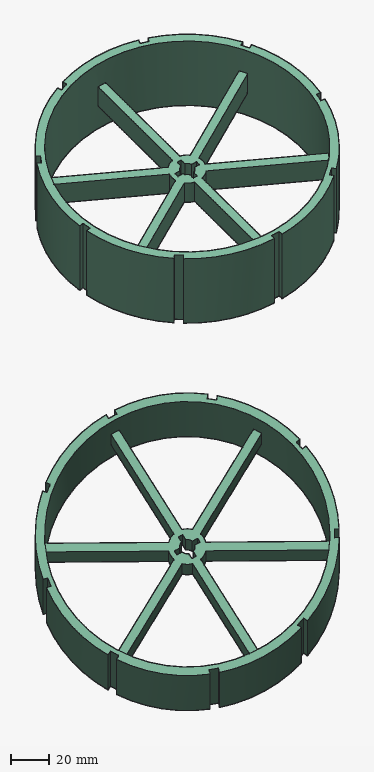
import cadquery as cq

rim_radius = 79.5
rim_height = 50.0
rim_wall = 5.0
rim_inner_radius = rim_radius - rim_wall

groove_count = 9
groove_width = 5.0
groove_depth = 2.5

hub_radius = 10.0
web_height = 15.0
web_bottom = (rim_height - web_height) / 2
spoke_count = 6
spoke_width = 5.0
spoke_embed = rim_wall / 4
spoke_length = rim_inner_radius + spoke_embed

bore_radius = 4.0
keyway_width = 2.5
keyway_span = 14.0


def make_rim():
    rim = cq.Workplane("XY").circle(rim_radius).circle(rim_inner_radius).extrude(rim_height)
    groove = (
        cq.Workplane("XY")
        .center(rim_radius, 0)
        .rect(2 * groove_depth, groove_width)
        .extrude(rim_height)
    )
    for i in range(groove_count):
        rim = rim.cut(groove.rotate((0, 0, 0), (0, 0, 1), i * 360 / groove_count))
    return rim


def make_web():
    plane = cq.Workplane("XY").workplane(offset=web_bottom)
    web = plane.circle(hub_radius).extrude(web_height)
    spoke = plane.center(spoke_length / 2, 0).rect(spoke_length, spoke_width).extrude(web_height)
    for i in range(spoke_count):
        web = web.union(spoke.rotate((0, 0, 0), (0, 0, 1), i * 360 / spoke_count))
    return web


def make_keyed_bore():
    plane = cq.Workplane("XY")
    bore = plane.circle(bore_radius).extrude(rim_height)
    bore = bore.union(plane.rect(keyway_span, keyway_width).extrude(rim_height))
    return bore.union(plane.rect(keyway_width, keyway_span).extrude(rim_height))


result = make_rim().union(make_web()).cut(make_keyed_bore())